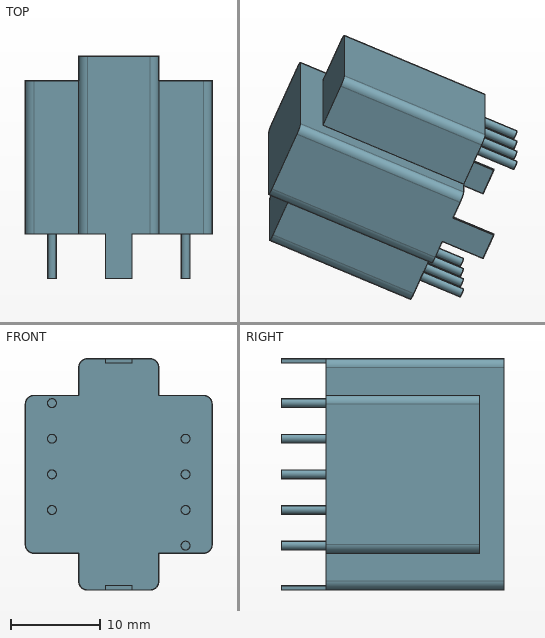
import cadquery as cq

winding_width = 21.0
winding_height = 17.75
winding_depth = 17.25

core_width = 9.0
core_height = 26.0
core_depth = 20.0

corner_radius = 1.0

lead_length = 5.0
pin_diameter = 1.0
pin_pitch = 4.0
pin_row_x = 7.5
left_pin_steps = (-1, 0, 1, 2)
right_pin_steps = (-2, -1, 0, 1)

tab_width = 3.0
tab_thickness = 0.5


def rounded_block(width, height, depth):
    """Block from the mounting face toward +Y, with its Y edges rounded."""
    block = cq.Workplane("XY").box(width, depth, height, centered=(True, False, True))
    return block.edges("|Y").fillet(corner_radius)


def pin_row(x, steps):
    """Round pins at the given pitch steps, all at the same X."""
    centres = [(x, step * pin_pitch) for step in steps]
    return cq.Workplane("XZ").pushPoints(centres).circle(pin_diameter / 2).extrude(lead_length)


def tab(side):
    """Flat tab flush with the top (side = 1) or bottom (side = -1) of the core."""
    centre_z = side * (core_height - tab_thickness) / 2
    return cq.Workplane("XZ").center(0, centre_z).rect(tab_width, tab_thickness).extrude(lead_length)


result = rounded_block(winding_width, winding_height, winding_depth)
result = result.union(rounded_block(core_width, core_height, core_depth))
result = result.union(pin_row(-pin_row_x, left_pin_steps))
result = result.union(pin_row(pin_row_x, right_pin_steps))
for side in (-1, 1):
    result = result.union(tab(side))